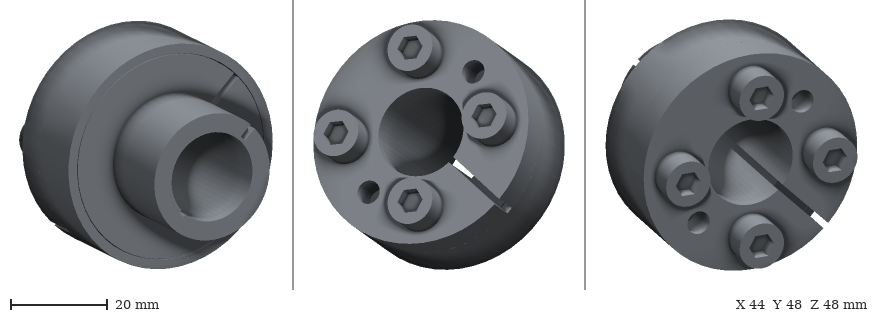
import cadquery as cq
import math


HEAD_LENGTH = 6.0
FLANGE_LENGTH = 7.0
COLLAR_LENGTH = 13.0
SLEEVE_LENGTH = 18.0
COLLAR_START = FLANGE_LENGTH
COLLAR_END = COLLAR_START + COLLAR_LENGTH
TAIL_END = COLLAR_END + SLEEVE_LENGTH

OUTER_RADIUS = 24.0
BORE_RADIUS = 9.5
SLEEVE_RADIUS = 13.55
TAPER_FRONT_RADIUS = 12.4
TAPER_TAIL_RADIUS = 10.25
COLLAR_BORE_RADIUS = 22.0
COLLAR_GAP = 0.2
OUTER_RING_FLANGE_RADIUS = COLLAR_BORE_RADIUS - COLLAR_GAP

SLIT_WIDTH = 1.45
SLIT_OVERRUN = 0.5
INNER_SLIT_ANGLE = 225
OUTER_SLIT_ANGLE = 45

BOLT_CIRCLE_RADIUS = 16.5
SCREW_ANGLES = (0, 90, 180, 270)
JACKING_ANGLES = (135, 315)
JACKING_RADIUS = 2.5
HEAD_RADIUS = 5.0
SHANK_RADIUS = 3.0
SHANK_LENGTH = 16.0
HEX_FLATS = 4.9
HEX_CORNERS = HEX_FLATS / math.cos(math.pi / 6)
HEX_DEPTH = 3.0


def revolved(profile):
    """Turn an (x, radius) outline about the X axis."""
    return cq.Workplane("XY").polyline(profile).close().revolve(360, (0, 0, 0), (1, 0, 0))


def bolt_plane(start, angle):
    """Work plane facing +X at the given x, centred on the bolt circle at the given angle."""
    y = BOLT_CIRCLE_RADIUS * math.cos(math.radians(angle))
    z = BOLT_CIRCLE_RADIUS * math.sin(math.radians(angle))
    return cq.Workplane("YZ", origin=(start, y, z))


def bar(start, length, radius, angle):
    """Cylinder along X on the bolt circle."""
    return bolt_plane(start, angle).circle(radius).extrude(length)


def slit(angle):
    """Radial slot cutter running the full length of the rings on one side of the axis."""
    reach = OUTER_RADIUS + SLIT_OVERRUN
    cutter = cq.Workplane("XY").box(TAIL_END, reach, SLIT_WIDTH, centered=(False, False, True))
    return cutter.rotate((0, 0, 0), (1, 0, 0), angle)


def make_inner_ring():
    """Flanged ring with a straight bore and a tapered outside, split on one side."""
    ring = revolved([
        (0, BORE_RADIUS),
        (0, OUTER_RADIUS),
        (FLANGE_LENGTH, OUTER_RADIUS),
        (FLANGE_LENGTH, TAPER_FRONT_RADIUS),
        (TAIL_END, TAPER_TAIL_RADIUS),
        (TAIL_END, BORE_RADIUS),
    ])
    ring = ring.cut(slit(INNER_SLIT_ANGLE))
    for angle in SCREW_ANGLES:
        ring = ring.cut(bar(0, FLANGE_LENGTH, SHANK_RADIUS, angle))
    for angle in JACKING_ANGLES:
        ring = ring.cut(bar(0, FLANGE_LENGTH, JACKING_RADIUS, angle))
    return ring


def make_outer_ring():
    """Flanged sleeve with a tapered bore, split opposite the inner ring's slit."""
    ring = revolved([
        (COLLAR_START, TAPER_FRONT_RADIUS),
        (COLLAR_START, OUTER_RING_FLANGE_RADIUS),
        (COLLAR_END, OUTER_RING_FLANGE_RADIUS),
        (COLLAR_END, SLEEVE_RADIUS),
        (TAIL_END, SLEEVE_RADIUS),
        (TAIL_END, TAPER_TAIL_RADIUS),
    ])
    ring = ring.cut(slit(OUTER_SLIT_ANGLE))
    for angle in SCREW_ANGLES:
        ring = ring.cut(bar(0, SHANK_LENGTH, SHANK_RADIUS, angle))
    return ring


def make_collar():
    """Plain ring that surrounds the outer ring's flange with a small gap."""
    blank = cq.Workplane("YZ", origin=(COLLAR_START, 0, 0))
    return blank.circle(OUTER_RADIUS).circle(COLLAR_BORE_RADIUS).extrude(COLLAR_LENGTH)


def make_screw(angle):
    """Socket-head screw seated on the flange, with two corners of its hex pointing along Y."""
    head = bar(-HEAD_LENGTH, HEAD_LENGTH, HEAD_RADIUS, angle)
    screw = head.union(bar(0, SHANK_LENGTH, SHANK_RADIUS, angle))
    socket = bolt_plane(-HEAD_LENGTH, angle).polygon(6, HEX_CORNERS).extrude(HEX_DEPTH)
    return screw.cut(socket)


inner_ring = make_inner_ring()
outer_ring = make_outer_ring()
collar = make_collar()
screws = [make_screw(angle) for angle in SCREW_ANGLES]

result = cq.Compound.makeCompound([
    inner_ring.val(),
    outer_ring.val(),
    collar.val(),
    *[screw.val() for screw in screws],
])